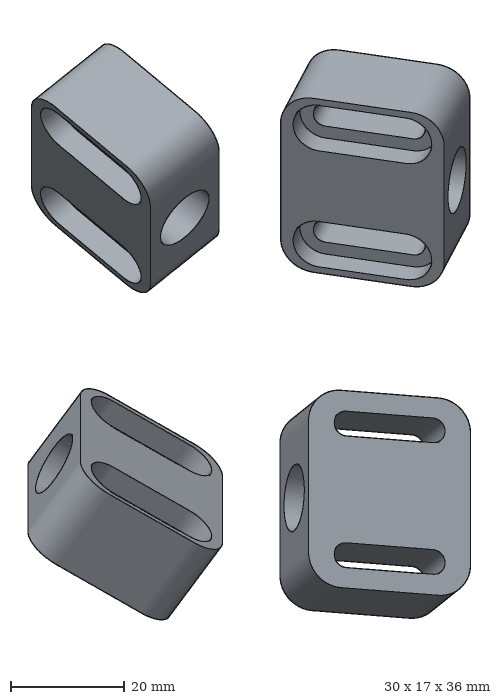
import cadquery as cq

width = 30.0
depth = 17.0
height = 36.0
corner_radius = 6.0

bore_diameter = 12.0

slot_offset = height / 3
slot_travel = 16.0
slot_width = 4.5
recess_width = 9.4
recess_depth = 4.5


def slot_cutter(cut_width, cut_depth):
    """Pair of slots cut from the -Y face to the given depth."""
    return (
        cq.Workplane("XZ", origin=(0, -depth / 2, 0))
        .pushPoints([(0, -slot_offset), (0, slot_offset)])
        .slot2D(slot_travel + cut_width, cut_width)
        .extrude(-cut_depth)
    )


block = (
    cq.Workplane("XY")
    .box(width, depth, height)
    .edges("|Y")
    .fillet(corner_radius)
)
bore = cq.Workplane("YZ").circle(bore_diameter / 2).extrude(width / 2, both=True)
through_slots = slot_cutter(slot_width, depth)
recesses = slot_cutter(recess_width, recess_depth)

result = block.cut(bore).cut(through_slots).cut(recesses)